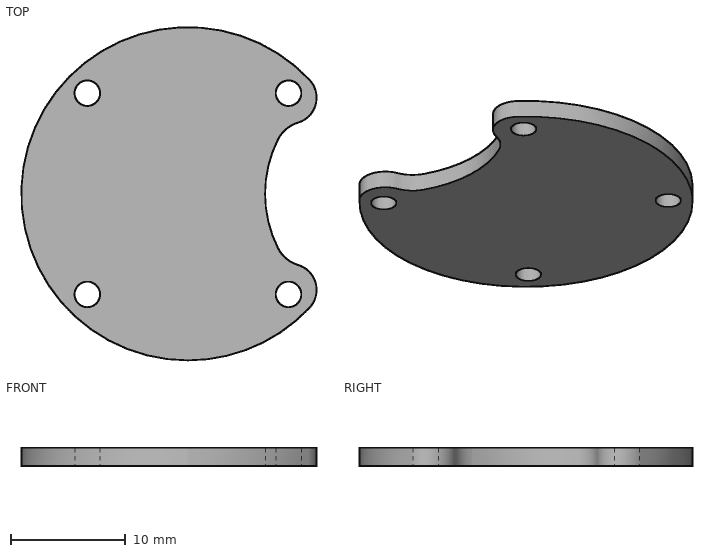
import math

import cadquery as cq

thickness = 1.6
disc_radius = 14.5
overall_length = 25.7
notch_centre_x = 17.24
notch_radius = 10.52
ear_radius = 2.27
blend_radius = 2.87
hole_diameter = 2.2
hole_spacing = 17.5

DISC_CENTRE = (0, 0)
NOTCH_CENTRE = (notch_centre_x, 0)


def point_towards(start, target, distance):
    """Point at a distance from start, along the line to target."""
    length = math.dist(start, target)
    return tuple(s + (t - s) * distance / length for s, t in zip(start, target))


def arc_middle(centre, radius, start, end):
    """Middle of the shorter arc between two points on a circle."""
    chord_middle = tuple((s + e) / 2 for s, e in zip(start, end))
    return point_towards(centre, chord_middle, radius)


def blend_centre(ear_centre):
    """Centre of the circle that touches the ear from outside and the notch from inside."""
    to_ear = ear_radius + blend_radius
    to_notch = notch_radius - blend_radius
    span = math.dist(ear_centre, NOTCH_CENTRE)
    along = (to_ear**2 - to_notch**2 + span**2) / (2 * span)
    across = math.sqrt(to_ear**2 - along**2)
    foot = point_towards(ear_centre, NOTCH_CENTRE, along)
    unit_x = (NOTCH_CENTRE[0] - ear_centre[0]) / span
    unit_y = (NOTCH_CENTRE[1] - ear_centre[1]) / span
    return (foot[0] + across * unit_y, foot[1] - across * unit_x)


def mirrored(point):
    """The point reflected across the X axis."""
    return (point[0], -point[1])


ear_x = overall_length - disc_radius - ear_radius
ear_y = math.sqrt((disc_radius - ear_radius) ** 2 - ear_x**2)
ear = (ear_x, ear_y)
blend = blend_centre(ear)

disc_to_ear = point_towards(DISC_CENTRE, ear, disc_radius)
ear_to_blend = point_towards(ear, blend, ear_radius)
blend_to_notch = point_towards(NOTCH_CENTRE, blend, notch_radius)
ear_middle = arc_middle(ear, ear_radius, disc_to_ear, ear_to_blend)
blend_middle = arc_middle(blend, blend_radius, ear_to_blend, blend_to_notch)
notch_middle = (notch_centre_x - notch_radius, 0)

disc_bottom = (0, -disc_radius)
lower_disc_middle = arc_middle(DISC_CENTRE, disc_radius, disc_bottom, mirrored(disc_to_ear))


def make_plate():
    """Disc with a round notch between two ears; its edge keeps a seam at the -Y end."""
    return (
        cq.Workplane("XY")
        .moveTo(*disc_bottom)
        .threePointArc((-disc_radius, 0), disc_to_ear)
        .threePointArc(ear_middle, ear_to_blend)
        .threePointArc(blend_middle, blend_to_notch)
        .threePointArc(notch_middle, mirrored(blend_to_notch))
        .threePointArc(mirrored(blend_middle), mirrored(ear_to_blend))
        .threePointArc(mirrored(ear_middle), mirrored(disc_to_ear))
        .threePointArc(lower_disc_middle, disc_bottom)
        .close()
        .extrude(thickness, clean=False)
    )


def drill_holes(plate):
    """Four through holes on a square centred on the disc."""
    return (
        plate.faces(">Z")
        .workplane(origin=(0, 0, thickness))
        .rect(hole_spacing, hole_spacing, forConstruction=True)
        .vertices()
        .hole(hole_diameter, clean=False)
    )


result = drill_holes(make_plate())